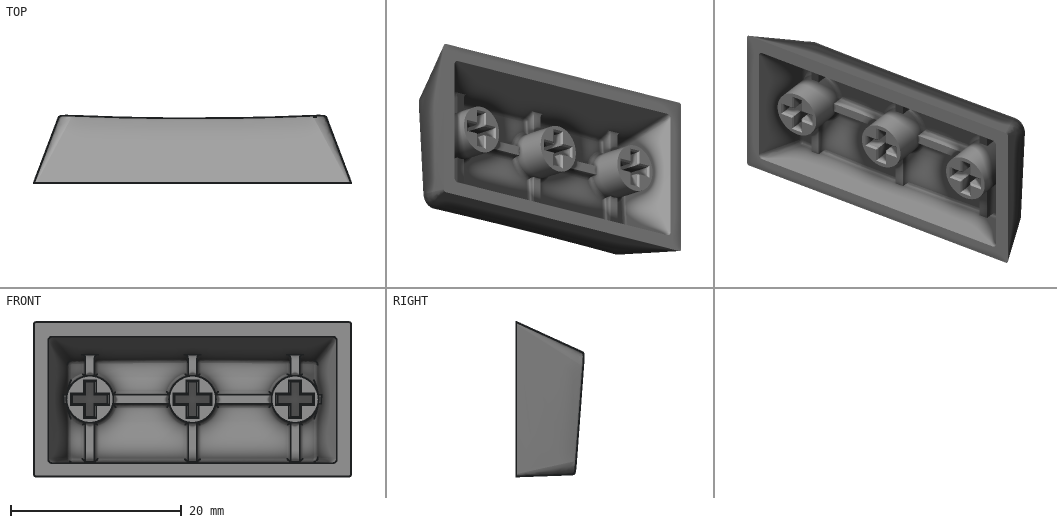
import cadquery as cq
import math


rim_width = 37.15
rim_height = 18.1
rim_corner_radius = 0.3
top_width = 31.2
top_low_z = 0.25
top_low_y = 6.93
top_high_z = 14.45
top_high_y = 7.99
top_corner_radius = 1.6
top_edge_fillet = 0.35

dish_sag = 0.4
dish_half_chord = top_width / 2 + 0.3
dish_radius = (dish_half_chord**2 + dish_sag**2) / (2 * dish_sag)

top_thickness = 1.65
opening_width = rim_width - 2 * 1.68
opening_low_z = 1.57
opening_high_z = 16.37
floor_width = 29.0
floor_low_z = 1.75
floor_high_z = 13.42
cavity_fillet = 0.44
cavity_corner_radius = 0.5

boss_pitch = 12.0
boss_z = rim_height / 2
boss_diameter = 5.5
boss_face_y = 0.75
boss_xs = [-boss_pitch, 0, boss_pitch]
rib_width = 1.05
rib_face_y = 4.45
rib_edge_margin = 0.1

cross_length = 4.1
cross_bar_width = 1.05
cross_depth = 4.0
cross_chamfer = 0.2

beyond = 10.0

top_slope = (top_high_y - top_low_y) / (top_high_z - top_low_z)
tilt_angle = math.degrees(math.atan(top_slope))


def top_y(z):
    """Depth of the plane through the dish edges at height z."""
    return top_low_y + top_slope * (z - top_low_z)


def rounded_outline(width, low, high, radius):
    """Closed rectangle symmetric in X between two (y, z) edges, with rounded corners."""
    half = width / 2
    corners = [(-half, *low), (half, *low), (half, *high), (-half, *high)]
    wire = cq.Wire.makePolygon([cq.Vector(*c) for c in corners], close=True)
    return wire.fillet2D(radius, wire.Vertices())


def dish_cylinder(offset):
    """Long cylinder whose lower surface is the dished top, moved inwards by offset."""
    middle_z = (top_low_z + top_high_z) / 2
    tilt = math.radians(tilt_angle)
    axis = cq.Vector(0, math.sin(tilt), math.cos(tilt))
    outward = cq.Vector(0, math.cos(tilt), -math.sin(tilt))
    surface = cq.Vector(0, top_y(middle_z), middle_z)
    center = surface + outward * (dish_radius - dish_sag - offset)
    length = 2 * (rim_height + beyond)
    return cq.Solid.makeCylinder(dish_radius, length, center - axis * (length / 2), axis)


def make_shell():
    rim = rounded_outline(rim_width, (0, 0), (0, rim_height), rim_corner_radius)
    top = rounded_outline(
        top_width, (top_low_y, top_low_z), (top_high_y, top_high_z), top_corner_radius
    )
    shell = cq.Workplane(cq.Solid.makeLoft([rim, top], True)).cut(cq.Workplane(dish_cylinder(0)))
    return shell.faces(">Y").edges().fillet(top_edge_fillet)


def make_bosses():
    plane = cq.Workplane("XZ", origin=(0, boss_face_y, boss_z))
    return plane.pushPoints([(x, 0) for x in boss_xs]).circle(boss_diameter / 2).extrude(-beyond)


def make_ribs():
    plane = cq.Workplane("XZ", origin=(0, rib_face_y, boss_z))
    ribs = plane.rect(rim_width, rib_width).extrude(-beyond)
    uprights = plane.pushPoints([(x, 0) for x in boss_xs]).rect(rib_width, 2 * rim_height)
    return ribs.union(uprights.extrude(-beyond))


def make_cavity():
    opening = rounded_outline(
        opening_width, (0, opening_low_z), (0, opening_high_z), cavity_corner_radius
    )
    floor = rounded_outline(
        floor_width,
        (top_y(floor_low_z) - top_thickness, floor_low_z),
        (top_y(floor_high_z) - top_thickness, floor_high_z),
        cavity_corner_radius,
    )
    cavity = cq.Workplane(cq.Solid.makeLoft([opening, floor], True))
    cavity = cavity.cut(cq.Workplane(dish_cylinder(top_thickness)))
    cavity = cavity.cut(make_ribs()).cut(make_bosses())

    deep_zone = cq.selectors.BoxSelector(
        (-rim_width, rib_face_y, -rim_height), (rim_width, top_high_y, 2 * rim_height)
    )
    upper_wall_zone = cq.selectors.BoxSelector(
        (-rim_width, rib_face_y + rib_edge_margin, floor_high_z + cavity_fillet / 2),
        (rim_width, top_high_y, rim_height),
    )
    floor_edges = cavity.faces("%CYLINDER").faces(deep_zone).edges()
    return floor_edges.add(cavity.edges(upper_wall_zone)).fillet(cavity_fillet)


def make_cross(plane, growth):
    """Sketch of the socket cross on every boss, widened by growth on all sides."""
    length = cross_length + 2 * growth
    width = cross_bar_width + 2 * growth
    cross = cq.Sketch().rect(length, width).rect(width, length).clean()
    return plane.pushPoints([(x, 0) for x in boss_xs]).placeSketch(cross)


def make_sockets():
    plane = cq.Workplane("XZ", origin=(0, boss_face_y, boss_z))
    sockets = make_cross(plane, 0).extrude(-cross_depth)
    mouths = make_cross(plane, cross_chamfer).extrude(-cross_chamfer, taper=45)
    return sockets.union(mouths)


result = make_shell().cut(make_cavity()).cut(make_sockets())